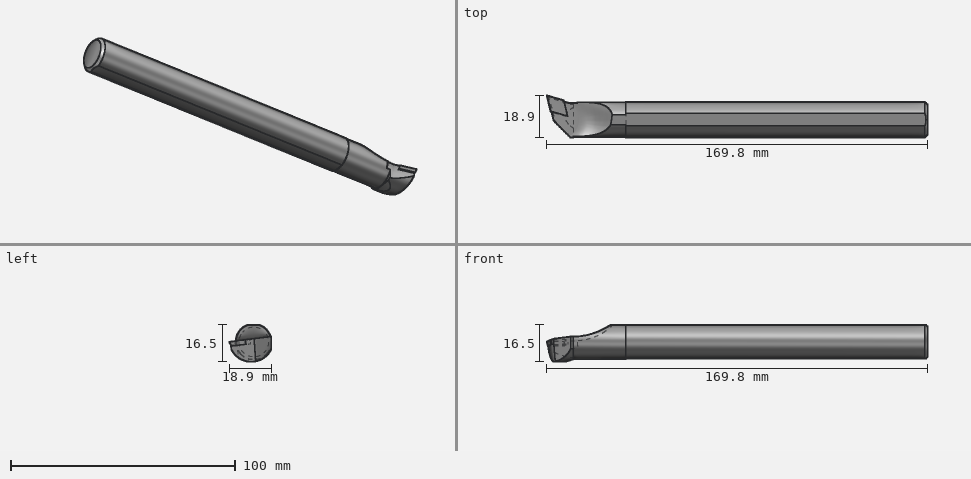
import cadquery as cq
import math

LENGTH = 169.8

SHANK_RADIUS = 8.0
NECK_RADIUS = 7.8
SHANK_START = 35.1
FLAT_HEIGHT = 7.5
END_CHAMFER = 1.4

HEAD_RADIUS = 9.8
HEAD_CENTRE_Y = 1.0
HEAD_BOTTOM = -9.0
HEAD_LENGTH = 11.9
HEAD_SIDE_Y = -8.0
HEAD_TAPER_START = 8.3

TIP_Y = 10.9
RAKE_ANGLE = math.radians(7)
RAKE_NORMAL = cq.Vector(0, math.sin(RAKE_ANGLE), math.cos(RAKE_ANGLE))
RAKE_PLANE = cq.Plane(origin=(0, TIP_Y, 0), xDir=(1, 0, 0), normal=RAKE_NORMAL)

INSERT_THICKNESS = 2.0
BACK_EDGE = cq.Vector(7.6, -2.2)
FRONT_EDGE = cq.Vector(1.7, -7.1)
INNER_CORNER = BACK_EDGE + FRONT_EDGE
BACK_SHRINK = 0.05
FRONT_SHRINK = 0.08

NOSE_Y = -0.3
NOSE_WIDTH = 1.0
NOSE_SETBACK = 0.8
HEAD_LEAN = cq.Vector(0.08, -0.07, -1)
BACK_FACE_LENGTH = 9.5
OUTLINE_MARGIN = 20.4
OUTLINE_STEP_X = HEAD_LENGTH + 1.7

SCOOP_CENTRE_X = 5.8
SCOOP_FLOOR_RADIUS = 8.7
SCOOP_WALL_RADIUS = 20.4
SCOOP_SWEEP = math.radians(60)
TIP_CLEARANCE_X = 8.5


def insert_outline(back_scale, front_scale):
    """Parallelogram corners with the two edges shortened toward the inner corner."""
    back = BACK_EDGE * back_scale
    front = FRONT_EDGE * front_scale
    corners = [
        INNER_CORNER,
        INNER_CORNER - back,
        INNER_CORNER - back - front,
        INNER_CORNER - front,
    ]
    return [(corner.x, corner.y) for corner in corners]


def make_insert():
    top = cq.Workplane(RAKE_PLANE).polyline(insert_outline(1, 1)).close()
    return (
        top.workplane(offset=-INSERT_THICKNESS)
        .polyline(insert_outline(1 - BACK_SHRINK, 1 - FRONT_SHRINK))
        .close()
        .loft(ruled=True, combine=True)
    )


def make_bar():
    shank = (
        cq.Workplane("YZ", origin=(SHANK_START, 0, 0))
        .circle(SHANK_RADIUS)
        .extrude(LENGTH - SHANK_START)
        .faces(">X")
        .chamfer(END_CHAMFER)
    )
    flats = cq.Workplane().box(
        LENGTH, 2 * SHANK_RADIUS, 2 * FLAT_HEIGHT, centered=(False, True, True)
    )
    neck = cq.Workplane("YZ").circle(NECK_RADIUS).extrude(SHANK_START)
    neck_top = cq.Workplane().box(
        LENGTH, 2 * NECK_RADIUS, FLAT_HEIGHT + NECK_RADIUS, centered=(False, True, False)
    ).translate((0, 0, -NECK_RADIUS))
    return shank.intersect(flats).union(neck.intersect(neck_top))


def make_head():
    """Round head whose underside slopes up to the neck."""
    head = (
        cq.Workplane("YZ")
        .center(HEAD_CENTRE_Y, HEAD_BOTTOM + HEAD_RADIUS)
        .circle(HEAD_RADIUS)
        .extrude(HEAD_LENGTH)
    )
    taper = (
        cq.Workplane("XZ")
        .polyline([
            (HEAD_TAPER_START, HEAD_BOTTOM),
            (HEAD_LENGTH, HEAD_BOTTOM),
            (HEAD_LENGTH, -NECK_RADIUS),
        ])
        .close()
        .extrude(OUTLINE_MARGIN, both=True)
    )
    side_trim = (
        cq.Workplane()
        .box(HEAD_LENGTH, OUTLINE_MARGIN, 2 * OUTLINE_MARGIN, centered=(False, False, True))
        .translate((0, HEAD_SIDE_Y - OUTLINE_MARGIN, 0))
    )
    return head.cut(taper).cut(side_trim)


def make_outline_prism():
    """Leaning prism that trims the front of the bar to the head outline."""
    shrunk_tip = BACK_EDGE * BACK_SHRINK + FRONT_EDGE * FRONT_SHRINK
    nose_drop = (TIP_Y - NOSE_Y + shrunk_tip.y) / -FRONT_EDGE.y
    nose_start = shrunk_tip + FRONT_EDGE * nose_drop
    nose_end = nose_start + cq.Vector(NOSE_SETBACK, -NOSE_WIDTH)
    side_end = nose_end + cq.Vector(OUTLINE_MARGIN, -OUTLINE_MARGIN)
    back_end = shrunk_tip + BACK_EDGE * (BACK_FACE_LENGTH / BACK_EDGE.x)
    far_x = LENGTH + OUTLINE_MARGIN
    points = [(p.x, p.y) for p in (back_end, shrunk_tip, nose_start, nose_end, side_end)]
    points += [(far_x, side_end.y), (far_x, OUTLINE_MARGIN)]
    points += [(OUTLINE_STEP_X, OUTLINE_MARGIN), (OUTLINE_STEP_X, back_end.y)]
    depth = 2 * OUTLINE_MARGIN
    wire = cq.Workplane(RAKE_PLANE).polyline(points).close().val()
    wire = wire.translate(HEAD_LEAN * -OUTLINE_MARGIN)
    return cq.Workplane(cq.Solid.extrudeLinear(wire, [], HEAD_LEAN * depth))


def make_scoop():
    centre_z = TIP_Y * math.tan(RAKE_ANGLE)
    plane = cq.Plane(
        origin=(SCOOP_CENTRE_X, 0, centre_z),
        xDir=(1, 0, 0),
        normal=RAKE_NORMAL.cross(cq.Vector(1, 0, 0)) * -1,
    )

    def wall_point(angle):
        return (
            SCOOP_FLOOR_RADIUS + SCOOP_WALL_RADIUS * math.sin(angle),
            SCOOP_WALL_RADIUS * (1 - math.cos(angle)),
        )

    rim = wall_point(SCOOP_SWEEP)
    bowl = (
        cq.Workplane(plane)
        .lineTo(SCOOP_FLOOR_RADIUS, 0)
        .threePointArc(wall_point(SCOOP_SWEEP / 2), rim)
        .lineTo(0, rim[1])
        .close()
        .revolve(360, (0, 0), (0, 1))
    )
    tip_clearance = (
        cq.Workplane(RAKE_PLANE)
        .rect(2 * TIP_CLEARANCE_X, 4 * OUTLINE_MARGIN)
        .extrude(OUTLINE_MARGIN)
    )
    return bowl.union(tip_clearance)


def make_holder(insert):
    holder = make_bar().union(make_head())
    holder = holder.intersect(make_outline_prism())
    return holder.cut(make_scoop()).cut(insert)


insert = make_insert()
holder = make_holder(insert)
result = cq.Compound.makeCompound([holder.solids().val(), insert.val()])